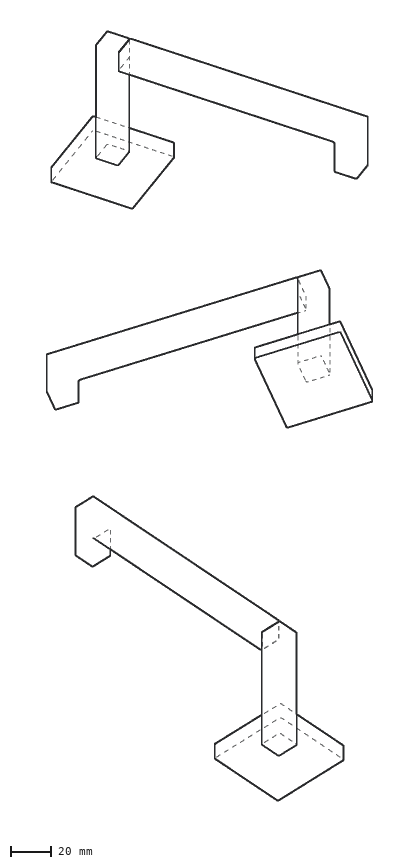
import cadquery as cq

plate_side = 45.72
plate_height = 9.525

bar_side = 12.7
post_top = 82.55
overall_height = 82.74
overall_length = 162.56
hook_drop = 31.75

edge_round = 0.762

post_height = post_top - plate_height
arm_start = bar_side / 2
arm_end = overall_length - plate_side / 2
hook_inner = arm_end - bar_side
arm_bottom = overall_height - bar_side
hook_tip = overall_height - hook_drop


def make_upright_block(side, height, base_height):
    """Square block with rounded vertical and top edges and a sharp bottom rim."""
    block = cq.Workplane("XY", origin=(0, 0, base_height)).rect(side, side).extrude(height)
    return block.edges("|Z or >Z").fillet(edge_round)


def make_arm():
    """Horizontal arm ending in a hook that turns down, with all its edges rounded."""
    arm = (
        cq.Workplane("XZ")
        .moveTo(arm_start, overall_height)
        .lineTo(arm_end, overall_height)
        .lineTo(arm_end, hook_tip)
        .lineTo(hook_inner, hook_tip)
        .lineTo(hook_inner, arm_bottom)
        .lineTo(arm_start, arm_bottom)
        .close()
        .extrude(bar_side / 2, both=True)
    )
    inner_corner = cq.selectors.NearestToPointSelector((hook_inner, 0, arm_bottom))
    arm = arm.edges(inner_corner).fillet(edge_round)

    return arm.faces("<Y or >Y or <X or >X or >Z or <Z").edges().fillet(edge_round)


plate = make_upright_block(plate_side, plate_height, 0)
post = make_upright_block(bar_side, post_height, plate_height)
result = plate.union(post).union(make_arm())